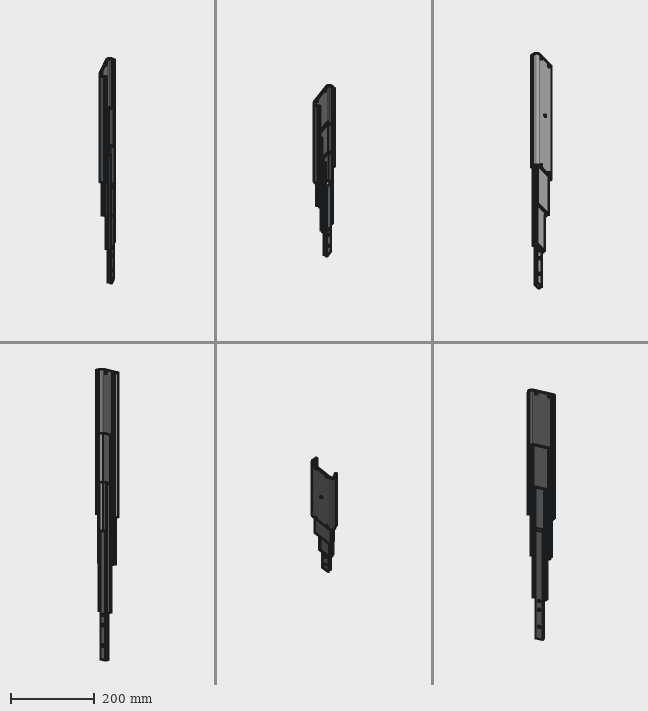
import cadquery as cq
import math

total_height = 700.0
half_depth = 25.0 / 2
half_width = 68.5 / 2

outer_length = total_height / 2
inner_length = 313.0
step = (total_height - outer_length) / 3
outer_bottom = total_height - outer_length

back_x = -half_depth
front_x = half_depth

outer_wall = 3.15
outer_corner_radius = 8.0
outer_back_half = 26.0
bulge_x = back_x + 9.45
bulge_half_span = 4.55
bulge_rise = 0.85
outer_lip_x = back_x + 15.5
outer_lip_end_x = back_x + 20.0
outer_lip_y = 32.0
outer_lip_thickness = 3.5

second_back_x = back_x + 5.0
second_back = 3.5
second_half = 25.0
second_inside = 21.0
second_groove = (back_x + 7.0, back_x + 13.0)
second_groove_depth = 2.3
second_shoulder_end = back_x + 15.5
second_lip_y = 24.0
second_lip_end_x = outer_lip_end_x

third_back_x = back_x + 12.0
third_back = 2.45
third_half = 17.0
third_flange_half = 18.55
third_inside = 13.0
third_groove = (third_back_x, back_x + 17.5)
third_groove_depth = 1.05
third_shoulder_end = back_x + 19.5
third_lip_y = 17.15
third_lip_x = back_x + 24.0

bar_back_x = back_x + 15.5
bar_half = 9.45
bar_groove = (back_x + 17.0, back_x + 22.0)
bar_groove_depth = 1.5

hole_diameter = 6.0
outer_hole_y = 17.0
outer_hole_end = 7.0
bar_hole_heights = (35.0, 85.0, 110.0)


def extrude_symmetric(half_section, bottom, length):
    """Extrude a closed half-section lying in Y >= 0 and join it to its mirror image."""
    half = half_section.close().extrude(length).translate((0, 0, bottom))
    return half.union(half.mirror("XZ")).clean()


def groove_middle(groove, edge_y, depth):
    """Deepest point of a ball groove cut into a side wall."""
    return (sum(groove) / 2, edge_y - depth)


def flare(start, end):
    """Middle and end of a concave arc from start that runs parallel to X at its end."""
    length = end[0] - start[0]
    drop = start[1] - end[1]
    radius = (length**2 + drop**2) / (2 * drop)
    half_angle = math.asin(length / radius) / 2
    middle = (
        end[0] - radius * math.sin(half_angle),
        end[1] + radius * (1 - math.cos(half_angle)),
    )
    return middle, end


def drill(body, places):
    """Drill through along X at each (y, z)."""
    for y, z in places:
        drill_bit = (
            cq.Workplane("YZ", origin=(back_x, y, z))
            .circle(hole_diameter / 2)
            .extrude(front_x - back_x)
        )
        body = body.cut(drill_bit)
    return body


def make_outer_rail():
    """C-channel with rounded back corners, bulged ball races and straight lips."""
    bulge_radius = (bulge_half_span**2 + bulge_rise**2) / (2 * bulge_rise)
    bulge_y = half_width - bulge_radius
    bulge_angle = math.asin(bulge_half_span / bulge_radius)
    corner_x = back_x + outer_corner_radius
    corner_middle = (math.pi / 2 - bulge_angle) / 2
    inner_lip_y = outer_lip_y - outer_lip_thickness

    def on_bulge(inset, angle):
        radius = bulge_radius - inset
        return (bulge_x + radius * math.sin(angle), bulge_y + radius * math.cos(angle))

    def on_corner(inset):
        radius = outer_corner_radius - inset
        return (
            corner_x - radius * math.cos(corner_middle),
            outer_back_half + radius * math.sin(corner_middle),
        )

    section = (
        cq.Workplane("XY")
        .moveTo(back_x, 0)
        .lineTo(back_x, outer_back_half)
        .threePointArc(on_corner(0), on_bulge(0, -bulge_angle))
        .threePointArc(on_bulge(0, 0), on_bulge(0, bulge_angle))
        .lineTo(outer_lip_x, outer_lip_y)
        .lineTo(outer_lip_end_x, outer_lip_y)
        .lineTo(outer_lip_end_x, inner_lip_y)
        .lineTo(outer_lip_x, inner_lip_y)
        .lineTo(*on_bulge(outer_wall, bulge_angle))
        .threePointArc(on_bulge(outer_wall, 0), on_bulge(outer_wall, -bulge_angle))
        .threePointArc(on_corner(outer_wall), (back_x + outer_wall, outer_back_half))
        .lineTo(back_x + outer_wall, 0)
    )
    rail = extrude_symmetric(section, outer_bottom, outer_length)
    end_heights = (outer_bottom + outer_hole_end, total_height - outer_hole_end)
    places = [(side * outer_hole_y, z) for side in (-1, 1) for z in end_heights]
    places.append((0, outer_bottom + outer_length / 2))
    return drill(rail, places)


def make_second_rail():
    """Channel with a ball groove along each side and tapered lips."""
    section = (
        cq.Workplane("XY")
        .moveTo(second_back_x, 0)
        .lineTo(second_back_x, second_half)
        .lineTo(second_groove[0], second_half)
        .threePointArc(
            groove_middle(second_groove, second_half, second_groove_depth),
            (second_groove[1], second_half),
        )
        .lineTo(second_shoulder_end, second_half)
        .threePointArc(*flare((second_shoulder_end, second_half), (second_lip_end_x, second_lip_y)))
        .lineTo(second_lip_end_x, second_inside)
        .lineTo(second_back_x + second_back, second_inside)
        .lineTo(second_back_x + second_back, 0)
    )
    return extrude_symmetric(section, outer_bottom - step, inner_length)


def make_third_rail():
    """Channel like the second rail, stepped outward to a wider flange past the groove."""
    section = (
        cq.Workplane("XY")
        .moveTo(third_back_x, 0)
        .lineTo(third_back_x, third_half)
        .threePointArc(
            groove_middle(third_groove, third_half, third_groove_depth),
            (third_groove[1], third_half),
        )
        .lineTo(third_groove[1], third_flange_half)
        .lineTo(third_shoulder_end, third_flange_half)
        .threePointArc(*flare((third_shoulder_end, third_flange_half), (third_lip_x, third_lip_y)))
        .lineTo(front_x, third_lip_y)
        .lineTo(front_x, third_inside)
        .lineTo(third_back_x + third_back, third_inside)
        .lineTo(third_back_x + third_back, 0)
    )
    return extrude_symmetric(section, outer_bottom - 2 * step, inner_length)


def make_slide_bar():
    """Solid bar with a ball groove along each side and screw holes."""
    section = (
        cq.Workplane("XY")
        .moveTo(bar_back_x, 0)
        .lineTo(bar_back_x, bar_half)
        .lineTo(bar_groove[0], bar_half)
        .threePointArc(
            groove_middle(bar_groove, bar_half, bar_groove_depth),
            (bar_groove[1], bar_half),
        )
        .lineTo(front_x, bar_half)
        .lineTo(front_x, 0)
    )
    bar = extrude_symmetric(section, 0, inner_length)
    return drill(bar, [(0, z) for z in bar_hole_heights])


outer_rail = make_outer_rail()
second_rail = make_second_rail()
third_rail = make_third_rail()
slide_bar = make_slide_bar()

result = cq.Compound.makeCompound(
    [outer_rail.val(), second_rail.val(), third_rail.val(), slide_bar.val()]
)